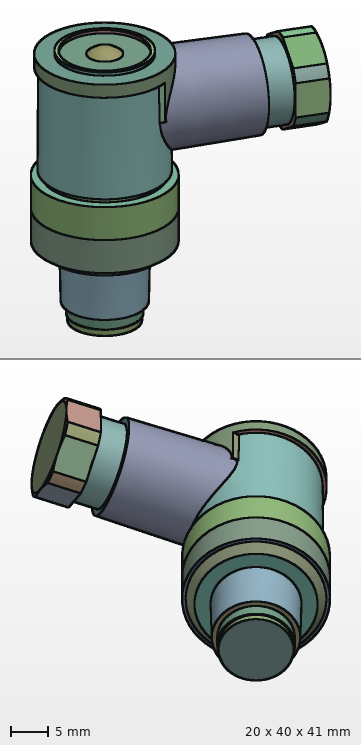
import cadquery as cq
import math

TIP_STEP_Z = 1.02
TIP_TOP_Z = 2.85
CHAMFER_BOTTOM_Z = 10.7
LOWER_RING_Z = 11.9
RING_JOINT_Z = 16.85
UPPER_RING_TOP_Z = 21.8
BARREL_BOTTOM_Z = 22.55
CAP_Z = 38.05
CAP_TOP_Z = 40.0
BEAD_TOP_Z = 40.5
DOME_TOP_Z = 41.0

TIP_END_RADIUS = 5.1
TIP_RADIUS = 5.25
SLEEVE_BOTTOM_RADIUS = 6.0
SLEEVE_TOP_RADIUS = 6.15

RING_RADIUS = 10.0
CHAMFER_TOP_RADIUS = 9.5
CHAMFER_BOTTOM_RADIUS = CHAMFER_TOP_RADIUS - (LOWER_RING_Z - CHAMFER_BOTTOM_Z)

SPIGOT_RADIUS = 8.53
BARREL_BOTTOM_RADIUS = 9.1
BARREL_TOP_RADIUS = 9.0

ARM_AXIS_Z = 32.1
ARM_END_Y = 21.07
ARM_END_RADIUS = 6.95
ARM_ROOT_RADIUS = 7.3

CAP_RADIUS = 9.55
TAB_WIDTH = 2 * ARM_ROOT_RADIUS
BEAD_OUTER_RADIUS = 6.8
BEAD_INNER_RADIUS = 6.25
DOME_BASE_RADIUS = 2.5

GLAND_SHANK_RADIUS = 6.05
HEX_START_Y = 25.0
GLAND_END_Y = 30.0
HEX_ACROSS_FLATS = 13.05
HEX_CORNER_RADIUS = 7.0
HEX_END_RADIUS = HEX_ACROSS_FLATS / 2
HEX_CHAMFER_LENGTH = 0.2


def cylinder(radius, bottom, top):
    """Upright cylinder on the main axis."""
    return cq.Workplane("XY").workplane(offset=bottom).circle(radius).extrude(top - bottom)


def revolved(points):
    """Solid of revolution about the main axis from (radius, height) points."""
    return cq.Workplane("XZ").polyline(points).close().revolve(360, (0, 0), (0, 1))


def arm_plane(y):
    """Workplane across the arm axis at the given Y, facing +Y."""
    return cq.Workplane(cq.Plane((0, y, ARM_AXIS_Z), xDir=(0, 0, 1), normal=(0, 1, 0)))


def make_insert():
    """Stepped plug that runs up through the lower ring."""
    return revolved([
        (0, 0),
        (TIP_END_RADIUS, 0),
        (TIP_END_RADIUS, TIP_STEP_Z),
        (TIP_RADIUS, TIP_STEP_Z),
        (TIP_RADIUS, TIP_TOP_Z),
        (SLEEVE_BOTTOM_RADIUS, TIP_TOP_Z),
        (SLEEVE_TOP_RADIUS, CHAMFER_BOTTOM_Z),
        (SLEEVE_TOP_RADIUS, RING_JOINT_Z),
        (0, RING_JOINT_Z),
    ])


def make_lower_ring():
    """Ring around the insert, with a conical nose set in from its rim."""
    return revolved([
        (SLEEVE_TOP_RADIUS, CHAMFER_BOTTOM_Z),
        (CHAMFER_BOTTOM_RADIUS, CHAMFER_BOTTOM_Z),
        (CHAMFER_TOP_RADIUS, LOWER_RING_Z),
        (RING_RADIUS, LOWER_RING_Z),
        (RING_RADIUS, RING_JOINT_Z),
        (SLEEVE_TOP_RADIUS, RING_JOINT_Z),
    ])


def make_upper_ring():
    """Plain ring around the housing spigot."""
    ring = cylinder(RING_RADIUS, RING_JOINT_Z, UPPER_RING_TOP_Z)
    return ring.cut(cylinder(SPIGOT_RADIUS, RING_JOINT_Z, UPPER_RING_TOP_Z))


def make_barrel():
    """Tapered upright part of the housing with its spigot."""
    return revolved([
        (0, RING_JOINT_Z),
        (SPIGOT_RADIUS, RING_JOINT_Z),
        (SPIGOT_RADIUS, BARREL_BOTTOM_Z),
        (BARREL_BOTTOM_RADIUS, BARREL_BOTTOM_Z),
        (BARREL_TOP_RADIUS, CAP_Z),
        (0, CAP_Z),
    ])


def make_arm():
    """Tapered side arm, from the main axis outwards."""
    arm = arm_plane(0).circle(ARM_ROOT_RADIUS).workplane(offset=ARM_END_Y)
    return arm.circle(ARM_END_RADIUS).loft(combine=True)


def make_cap(barrel):
    """Flange with a raised bead on top and a tab that hangs down over the arm root."""
    flange = cylinder(CAP_RADIUS, CAP_Z, CAP_TOP_Z)
    tab_limits = cq.Workplane("XY").box(
        TAB_WIDTH, CAP_RADIUS, CAP_Z - ARM_AXIS_Z, centered=(True, False, False)
    ).translate((0, 0, ARM_AXIS_Z))
    tab = cylinder(CAP_RADIUS, ARM_AXIS_Z, CAP_Z).intersect(tab_limits).cut(barrel)
    bead = cylinder(BEAD_OUTER_RADIUS, CAP_TOP_Z, BEAD_TOP_Z)
    bead = bead.cut(cylinder(BEAD_INNER_RADIUS, CAP_TOP_Z, BEAD_TOP_Z))
    return flange.union(tab).union(bead)


def make_dome():
    """Spherical lens standing on the cap."""
    height = DOME_TOP_Z - CAP_TOP_Z
    sphere_radius = (DOME_BASE_RADIUS**2 + height**2) / (2 * height)
    sphere = cq.Workplane("XY").sphere(sphere_radius).translate((0, 0, DOME_TOP_Z - sphere_radius))
    return sphere.intersect(cylinder(DOME_BASE_RADIUS, CAP_TOP_Z, DOME_TOP_Z))


def make_gland():
    """Round shank with a hexagonal head whose corners are turned and end is chamfered."""
    shank = arm_plane(ARM_END_Y).circle(GLAND_SHANK_RADIUS).extrude(HEX_START_Y - ARM_END_Y)
    head_length = GLAND_END_Y - HEX_START_Y
    corner_diameter = HEX_ACROSS_FLATS / math.cos(math.pi / 6)
    hexagon = arm_plane(HEX_START_Y).polygon(6, corner_diameter).extrude(head_length)
    turned = arm_plane(HEX_START_Y).circle(HEX_CORNER_RADIUS).extrude(head_length)
    turned = turned.faces(">Y").chamfer(HEX_CHAMFER_LENGTH, HEX_CORNER_RADIUS - HEX_END_RADIUS)
    return shank.union(hexagon.intersect(turned))


insert = make_insert()
lower_ring = make_lower_ring()
upper_ring = make_upper_ring()
barrel = make_barrel()
cap = make_cap(barrel)
housing = barrel.union(make_arm()).cut(cap)
dome = make_dome()
gland = make_gland()

result = cq.Compound.makeCompound([
    insert.val(),
    lower_ring.val(),
    upper_ring.val(),
    housing.val(),
    cap.val(),
    dome.val(),
    gland.val(),
])